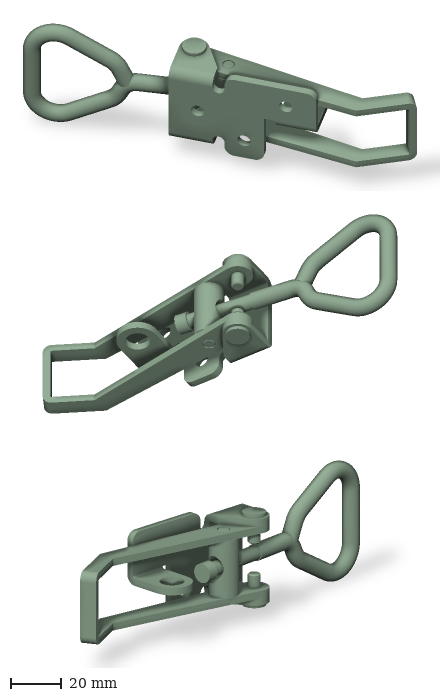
import cadquery as cq
import math


overall_length = 159.2
sheet = 3.0
wire_radius = 3.5
rod_radius = 3.0
rivet_radius = 2.5
pivot_y = 15.9
lug_radius = 6.0

bracket_half_width = 18.0
plate_half_width = 20.0
bend_radius = 4.0
flange_end_x = 12.0
flange_slope = math.radians(60)
wing_start_x = 16.9
lower_wing_end_x = 33.1
plate_end_x = 54.3
plate_corner_radius = 4.0
notch_floor_z = 11.5
relief_top_z = 2.7
screw_hole_radius = 2.7
screw_holes = [(5.9, 0), (42.0, 11.0), (24.8, -11.1)]
eye_radius = 8.3
eye_hole_radius = 5.0
eye_y = 16.7
eye_bend_z = bend_radius - sheet / 2

arm_outer_z = bracket_half_width - sheet
arm_inner_z = arm_outer_z - sheet
knee_x = 70.3
knee_y = 1.1
knee_top_x = 70.8
tail_angle = math.radians(27)
tail_width = 6.7
tail_length = 24.5
tail_corner_radius = 3.5
tail_inner_radius = 0.5

rivet_head_radius = 4.8
rivet_head_height = 1.5
rivet_inner_z = 6.4
rivet_chamfer = 0.5

trunnion_x = 14.6
trunnion_y = 13.7
trunnion_radius = 6.0
stub_chamfer = 0.5
countersink_radius = 5.3

pull_tilt = math.radians(6)
rod_end = 13.4
rod_start = -19.3
loop_fork = -40.6
bar_half_length = 11.1
loop_corner_radius = 10.0
elbow_radius = 9.5
fork_radius = 7.2
slant_angle = math.radians(30)
leg_angle = math.radians(65)

nut_radius = 4.0
nut_height = 5.0


def tangent_point(point, radius, center_y, side):
    """Where a line from point touches the circle centred on (0, center_y); side is +1 above or -1 below."""
    dx = point[0]
    dy = point[1] - center_y
    angle = math.atan2(dy, dx) + side * math.acos(radius / math.hypot(dx, dy))
    return (radius * math.cos(angle), center_y + radius * math.sin(angle))


def z_cylinder(x, y, radius, z_low, z_high):
    return cq.Workplane("XY", origin=(x, y, z_low)).circle(radius).extrude(z_high - z_low)


def slab(x_low, x_high, y_low, y_high, z_low, z_high):
    size = (x_high - x_low, y_high - y_low, z_high - z_low)
    return cq.Workplane("XY").box(*size, centered=False).translate((x_low, y_low, z_low))



def bracket_channel():
    """U-shaped part with the two pivot flanges."""
    touch = (lug_radius * math.sin(flange_slope), pivot_y + lug_radius * math.cos(flange_slope))
    shoulder_y = touch[1] - (flange_end_x - touch[0]) * math.tan(flange_slope)
    block = (
        cq.Workplane("XY", origin=(0, 0, -bracket_half_width))
        .moveTo(-lug_radius, 0)
        .lineTo(flange_end_x, 0)
        .lineTo(flange_end_x, shoulder_y)
        .lineTo(*touch)
        .threePointArc((0, pivot_y + lug_radius), (-lug_radius, pivot_y))
        .close()
        .extrude(2 * bracket_half_width)
        .edges("|X and <Y")
        .fillet(bend_radius)
    )
    inside = slab(-2 * lug_radius, 2 * flange_end_x, sheet, 2 * pivot_y, -arm_outer_z, arm_outer_z)
    inside = inside.edges("|X and <Y").fillet(bend_radius - sheet)
    rivet_hole = z_cylinder(0, pivot_y, rivet_radius, -plate_half_width, plate_half_width)
    return block.cut(inside).cut(rivet_hole)


def round_slot(x_low, x_high, floor_z, direction):
    """Slot through the plate with a round floor, open towards Z = direction."""
    radius = (x_high - x_low) / 2
    center = (x_low + radius, floor_z + direction * radius)
    mouth_z = direction * 2 * plate_half_width
    cut = slab(x_low, x_high, -sheet, 2 * sheet, min(center[1], mouth_z), max(center[1], mouth_z))
    floor = cq.Workplane("XZ", origin=(0, 2 * sheet, 0)).center(*center).circle(radius).extrude(3 * sheet)
    return cut.union(floor)


def bracket_plate():
    """Flat mounting plate: a narrow neck, then an upper and a shorter lower wing."""
    neck_half_width = bracket_half_width - bend_radius
    neck = slab(0, wing_start_x + sheet, 0, sheet, -neck_half_width, neck_half_width)
    upper = slab(wing_start_x, plate_end_x, 0, sheet, eye_bend_z, plate_half_width)
    upper = upper.edges("|Y and >Z").fillet(plate_corner_radius)
    lower = slab(wing_start_x, lower_wing_end_x, 0, sheet, -plate_half_width, eye_bend_z)
    lower = lower.edges("|Y and <Z").fillet(plate_corner_radius)
    plate = neck.union(upper).union(lower)
    for side in (1, -1):
        plate = plate.cut(round_slot(flange_end_x, wing_start_x, side * notch_floor_z, side))
    return plate


def padlock_eye():
    """Tab bent up from the edge of the upper wing, with a round end and a hole."""
    width = 2 * eye_radius
    start_x = plate_end_x - width
    center_x = plate_end_x - eye_radius
    profile = (
        cq.Workplane("YZ", origin=(start_x, 0, 0))
        .moveTo(0, eye_bend_z)
        .radiusArc((bend_radius, -sheet / 2), -bend_radius)
        .lineTo(eye_y, -sheet / 2)
        .lineTo(eye_y, sheet / 2)
        .lineTo(bend_radius, sheet / 2)
        .radiusArc((sheet, eye_bend_z), bend_radius - sheet)
        .close()
        .extrude(width)
    )
    end = z_cylinder(center_x, eye_y, eye_radius, -sheet / 2, sheet / 2)
    hole = z_cylinder(center_x, eye_y, eye_hole_radius, -sheet, sheet)
    return profile.union(end).cut(hole)


def make_bracket():
    relief = round_slot(lower_wing_end_x, plate_end_x - 2 * eye_radius, relief_top_z, -1)
    holes = cq.Workplane("XZ", origin=(0, 2 * sheet, 0)).pushPoints(screw_holes)
    holes = holes.circle(screw_hole_radius).extrude(3 * sheet)
    return bracket_channel().union(bracket_plate().cut(relief)).union(padlock_eye()).cut(holes)



def make_lever():
    """Bent handle: two arms joined by a bar across the tail."""
    along = (math.cos(tail_angle), math.sin(tail_angle))
    knee = (knee_x, knee_y)
    knee_top = (
        knee_top_x, knee_y + (knee_top_x - knee_x) * math.tan(tail_angle) + tail_width / math.cos(tail_angle)
    )
    tip = (knee_x + tail_length * along[0], knee_y + tail_length * along[1])
    tip_top = (tip[0] - tail_width * along[1], tip[1] + tail_width * along[0])
    blank = (
        cq.Workplane("XY", origin=(0, 0, -arm_outer_z))
        .moveTo(*tangent_point(knee, lug_radius, pivot_y, -1))
        .lineTo(*knee)
        .lineTo(*tip)
        .lineTo(*tip_top)
        .lineTo(*knee_top)
        .lineTo(*tangent_point(knee_top, lug_radius, pivot_y, 1))
        .threePointArc((-lug_radius, pivot_y), tangent_point(knee, lug_radius, pivot_y, -1))
        .close()
        .extrude(2 * arm_outer_z)
    )
    tail_end = cq.selectors.DirectionMinMaxSelector(cq.Vector(*along, 0))
    blank = blank.faces(tail_end).edges("#Z").fillet(tail_corner_radius)
    opening_length = overall_length
    opening = (
        cq.Workplane("XY")
        .box(opening_length, opening_length, 2 * arm_inner_z)
        .edges("|Y and >X")
        .fillet(tail_inner_radius)
        .translate((-opening_length / 2 - sheet, 0, 0))
        .rotate((0, 0, 0), (0, 0, 1), math.degrees(tail_angle))
        .translate((*tip, 0))
    )
    lever = blank.cut(opening)
    for x, y in ((0, pivot_y), (trunnion_x, trunnion_y)):
        lever = lever.cut(z_cylinder(x, y, rivet_radius, -plate_half_width, plate_half_width))
    return lever



def make_rivet(side):
    """Pivot rivet through one flange and one lever arm; side is +1 for the +Z flange."""
    shank = z_cylinder(0, pivot_y, rivet_radius, rivet_inner_z, bracket_half_width)
    shank = shank.faces("<Z").chamfer(rivet_chamfer)
    head_top_z = bracket_half_width + rivet_head_height
    head = z_cylinder(0, pivot_y, rivet_head_radius, bracket_half_width, head_top_z)
    rivet = shank.union(head)
    return rivet if side > 0 else rivet.mirror("XY")



pull_direction = cq.Vector(math.cos(pull_tilt), math.sin(pull_tilt), 0)
trunnion_center = cq.Vector(trunnion_x, trunnion_y, 0)
pull_plane = cq.Plane(
    origin=trunnion_center, xDir=pull_direction, normal=pull_direction.cross(cq.Vector(0, 0, 1))
)


def rod_cylinder(radius, start, end):
    base = trunnion_center + pull_direction * start
    return cq.Workplane(obj=cq.Solid.makeCylinder(radius, end - start, base, pull_direction))


def rounded_path(points, radii):
    """Path on the loop plane through points, each inner corner rounded with its own radius."""
    path = cq.Workplane(pull_plane).moveTo(*points[0])
    for before, corner, after, radius in zip(points, points[1:], points[2:], radii):
        corner = cq.Vector(*corner)
        to_before = (cq.Vector(*before) - corner).normalized()
        to_after = (cq.Vector(*after) - corner).normalized()
        half_angle = to_before.getAngle(to_after) / 2
        reach = radius / math.tan(half_angle)
        middle = (to_before + to_after).normalized() * (radius / math.sin(half_angle) - radius)
        start = corner + to_before * reach
        end = corner + to_after * reach
        path = path.lineTo(start.x, start.y)
        path = path.threePointArc(((corner + middle).x, (corner + middle).y), (end.x, end.y))
    return path.lineTo(*points[-1])


def wire_along(points, radii):
    path = rounded_path(points, radii).wire()
    wire = path.val()
    profile = cq.Workplane(cq.Plane(origin=wire.startPoint(), normal=wire.tangentAt(0)))
    return profile.circle(wire_radius).sweep(path)


def make_pull():
    """Rod whose end bends round into a triangular loop that closes against it at the fork."""
    tip_x = knee_x + tail_length * math.cos(tail_angle)
    bar = (tip_x - overall_length + wire_radius - trunnion_x) / math.cos(pull_tilt)
    slant_slope = math.tan(slant_angle)
    leg_slope = math.tan(leg_angle)
    corner_z = bar_half_length + loop_corner_radius / slant_slope
    elbow = (corner_z + bar * slant_slope - loop_fork * leg_slope) / (slant_slope - leg_slope)
    elbow_z = (loop_fork - elbow) * leg_slope

    fork_reach = fork_radius * math.tan(leg_angle / 2)
    leg_direction = (-math.cos(leg_angle), math.sin(leg_angle))
    leg_end = (loop_fork + fork_reach * leg_direction[0], fork_reach * leg_direction[1])
    corners = [
        (loop_fork, 0), (elbow, -elbow_z), (bar, -corner_z), (bar, corner_z), (elbow, elbow_z)
    ]
    radii = [fork_radius, elbow_radius, loop_corner_radius, loop_corner_radius, elbow_radius]
    loop = wire_along([(rod_start, 0), *corners, leg_end], radii)
    closing_leg = wire_along([leg_end, (loop_fork, 0)], [])
    return loop.union(closing_leg).union(rod_cylinder(rod_radius, rod_start, rod_end))



def make_trunnion():
    """Barrel between the arms, with a stub in each arm and a countersunk hole for the rod."""
    barrel = z_cylinder(trunnion_x, trunnion_y, trunnion_radius, -arm_inner_z, arm_inner_z)
    stubs = z_cylinder(trunnion_x, trunnion_y, rivet_radius, -arm_outer_z, arm_outer_z)
    trunnion = barrel.union(stubs.faces("<Z or >Z").chamfer(stub_chamfer))
    trunnion = trunnion.cut(rod_cylinder(rod_radius, -2 * trunnion_radius, 2 * trunnion_radius))
    cone_tip = trunnion_radius - countersink_radius
    cone_size = 2 * countersink_radius
    for side in (1, -1):
        direction = pull_direction * side
        cone = cq.Solid.makeCone(
            0, cone_size, cone_size, trunnion_center + direction * cone_tip, direction
        )
        trunnion = trunnion.cut(cq.Workplane(obj=cone))
    return trunnion


def make_nut():
    nut = rod_cylinder(nut_radius, rod_end - nut_height, rod_end)
    return nut.cut(rod_cylinder(rod_radius, rod_end - nut_height, rod_end))


bracket = make_bracket()
lever = make_lever()
rivets = [make_rivet(side) for side in (1, -1)]
pull = make_pull()
trunnion = make_trunnion()
nut = make_nut()

result = cq.Compound.makeCompound(
    [bracket.val(), lever.val(), *[rivet.val() for rivet in rivets], pull.val(), trunnion.val(), nut.val()]
)